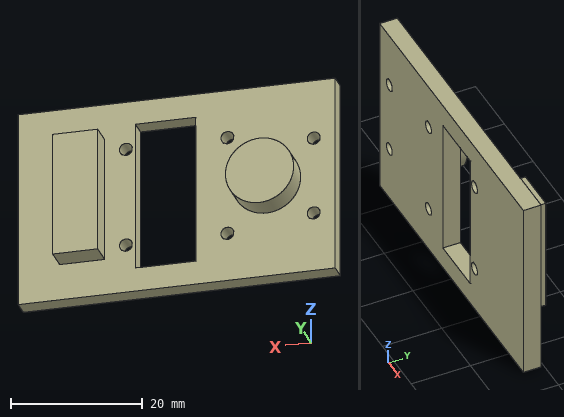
import cadquery as cq

plate_length = 50.0
plate_height = 31.77
plate_thickness = 3.0
left_edge = -plate_length / 2

boss_height = 4.0
round_boss_diameter = 10.75
round_boss_x = left_edge + 10.82
block_width = 7.1
block_length = 20.0
block_x = left_edge + 39.88

window_width = 9.5
window_length = 24.0
window_x = left_edge + 26.75

hole_diameter = 2.0
square_hole_spacing = 16.0
square_hole_center_x = 0.0
edge_hole_spacing = 12.5
edge_hole_x = left_edge + 3.4


def front_sketch_plane(y):
    """XZ plane at the given Y; extruding by a negative distance goes toward +Y."""
    return cq.Workplane("XZ", origin=(0, y, 0))


def make_plate():
    return front_sketch_plane(0).rect(plate_length, plate_height).extrude(-plate_thickness)


def make_round_boss():
    plane = front_sketch_plane(plate_thickness)
    return plane.center(round_boss_x, 0).circle(round_boss_diameter / 2).extrude(-boss_height)


def make_block():
    plane = front_sketch_plane(plate_thickness)
    return plane.center(block_x, 0).rect(block_width, block_length).extrude(-boss_height)


def make_window():
    plane = front_sketch_plane(0)
    return plane.center(window_x, 0).rect(window_width, window_length).extrude(-plate_thickness)


def make_holes():
    columns = [
        (edge_hole_x, edge_hole_spacing),
        (square_hole_center_x - square_hole_spacing / 2, square_hole_spacing),
        (square_hole_center_x + square_hole_spacing / 2, square_hole_spacing),
    ]
    centers = [(x, side * spacing / 2) for x, spacing in columns for side in (-1, 1)]
    plane = front_sketch_plane(0)
    return plane.pushPoints(centers).circle(hole_diameter / 2).extrude(-plate_thickness)


plate = make_plate().cut(make_window()).cut(make_holes())
result = plate.union(make_round_boss()).union(make_block())